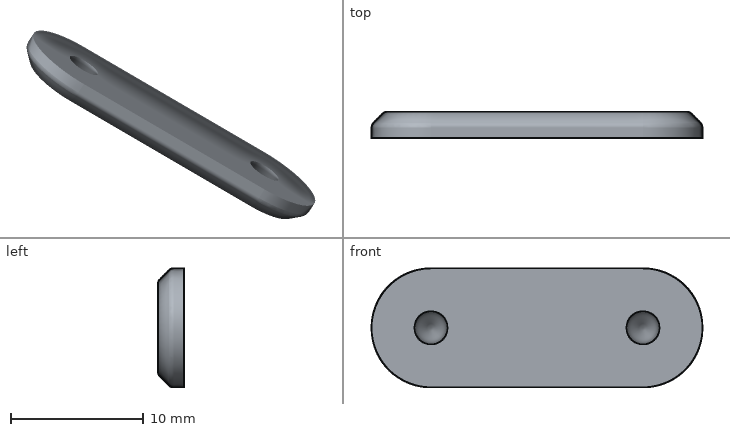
import cadquery as cq
import math

length = 25.0
width = 9.0
thickness = 2.0
chamfer_size = 1.0
blend_radius = 0.5
hole_diameter = 2.5
hole_depth = 1.0
drill_point_angle = 118.0

hole_spacing = length - width
hole_radius = hole_diameter / 2
point_depth = hole_radius / math.tan(math.radians(drill_point_angle / 2))


def make_plate():
    """Slot-shaped plate from Y = 0 to +Y, with a softened chamfer around the +Y face."""
    plate = cq.Workplane("XZ").slot2D(length, width).extrude(-thickness)
    plate = plate.faces(">Y").chamfer(chamfer_size)
    chamfer_start = thickness - chamfer_size
    edge_margin = chamfer_size / 4
    chamfer_edges = cq.selectors.BoxSelector(
        (-length, chamfer_start - edge_margin, -width),
        (length, chamfer_start + edge_margin, width),
    )
    edges = plate.edges(chamfer_edges).edges("#Y").add(plate.faces(">Y").edges())
    return edges.fillet(blend_radius)


def make_drilled_hole(x):
    """Blind hole entering the Y = 0 face, ending in a conical drill point."""
    profile = (
        cq.Workplane("XY")
        .moveTo(x, 0)
        .lineTo(x + hole_radius, 0)
        .lineTo(x + hole_radius, hole_depth)
        .lineTo(x, hole_depth + point_depth)
        .close()
    )
    return profile.revolve(360, (x, 0, 0), (x, 1, 0))


result = make_plate()
for side in (-1, 1):
    result = result.cut(make_drilled_hole(side * hole_spacing / 2))